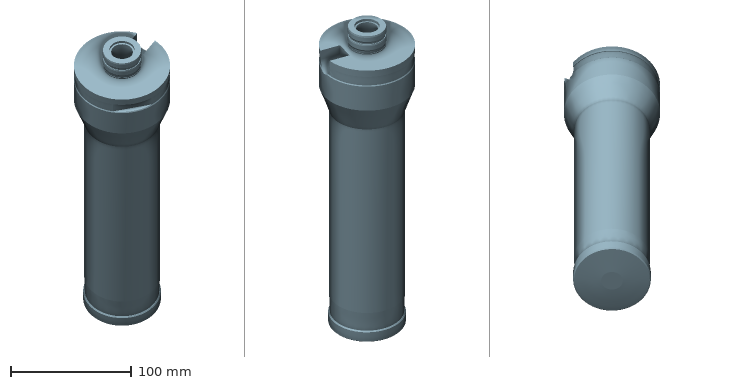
import cadquery as cq
import math

total_height = 295.0
flange_top = 276.7
flange_bottom = 270.5
band_bottom = 261.7
head_bottom = 237.0
collar_top = 214.5
collar_bottom = 212.7
tube_bottom = 30.0
foot_top = 11.8
foot_bottom = 1.5

flange_radius = 80.0 / 2
band_radius = 78.8 / 2
head_radius = flange_radius
collar_radius = 64.3 / 2
tube_radius = 63.0 / 2
taper_end_radius = 62.0 / 2
foot_radius = 64.5 / 2
foot_flat_radius = 18.0 / 2
edge_chamfer = 1.0

flat_distance = 35.7
flat_direction = -45.0

slot_width = 17.0
slot_inner_y = 20.6
slot_straight_depth = 8.8

insert_radius = 47.2 / 2
insert_depth = 23.5
neck_radius = 31.5 / 2
ring_radius = 32.2 / 2
ring_top_radius = 31.5 / 2
groove_radius = 30.7 / 2
ring_bevel_height = 1.5
ring_height = 4.0
ring_tops = [total_height - ring_bevel_height, 285.3]
neck_root = 277.5

bore_radius = 18.0 / 2
bore_mouth_radius = 21.0 / 2
bore_mouth_depth = 2.5
bore_depth = 26.5
drill_tip_angle = 118.0


def revolve_outline(outline):
    """Turn a closed (radius, height) outline around Z."""
    return outline.close().revolve(360, (0, 0, 0), (0, 1, 0))


def insert_blank():
    """Flush disc of the insert, flattened where the slot meets it."""
    disc = (
        cq.Workplane("XY", origin=(0, 0, flange_top - insert_depth))
        .circle(insert_radius)
        .extrude(insert_depth)
    )
    beyond_flat = (
        cq.Workplane("XY")
        .box(2 * insert_radius, insert_radius, total_height, centered=(True, False, False))
        .translate((0, slot_inner_y, 0))
    )
    return disc.cut(beyond_flat)


def band_flat_cutter():
    """Block that removes one flat from the band, between the head and the flange."""
    return (
        cq.Workplane("XY")
        .box(
            flange_radius,
            2 * flange_radius,
            flange_bottom - band_bottom,
            centered=(False, True, False),
        )
        .translate((flat_distance, 0, band_bottom))
        .rotate((0, 0, 0), (0, 0, 1), flat_direction)
    )


def slot_cutter():
    """Round-bottomed slot, open at the top and at the +Y side."""
    half_width = slot_width / 2
    floor_start = flange_top - slot_straight_depth
    return (
        cq.Workplane("XZ", origin=(0, slot_inner_y, 0))
        .moveTo(-half_width, total_height)
        .lineTo(-half_width, floor_start)
        .threePointArc((0, floor_start - half_width), (half_width, floor_start))
        .lineTo(half_width, total_height)
        .close()
        .extrude(-flange_radius)
    )


def make_housing():
    outline = (
        cq.Workplane("XZ")
        .moveTo(0, 0)
        .lineTo(foot_flat_radius, 0)
        .lineTo(foot_radius - edge_chamfer, foot_bottom)
        .lineTo(foot_radius, foot_bottom + edge_chamfer)
        .lineTo(foot_radius, foot_top - edge_chamfer / 2)
        .lineTo(foot_radius - edge_chamfer, foot_top + edge_chamfer / 2)
        .lineTo(taper_end_radius, foot_top + edge_chamfer / 2)
        .lineTo(tube_radius, tube_bottom)
        .lineTo(tube_radius, collar_bottom)
        .lineTo(collar_radius, collar_top)
        .lineTo(head_radius, head_bottom)
        .lineTo(head_radius, band_bottom - edge_chamfer)
        .lineTo(band_radius, band_bottom)
        .lineTo(band_radius, flange_bottom)
        .lineTo(flange_radius, flange_bottom)
        .lineTo(flange_radius, flange_top)
        .lineTo(0, flange_top)
    )
    body = revolve_outline(outline)
    return body.cut(band_flat_cutter()).cut(slot_cutter()).cut(insert_blank())


def neck_ring(top):
    """Raised ring on the neck, bevelled above and below."""
    outline = (
        cq.Workplane("XZ")
        .moveTo(0, top + ring_bevel_height)
        .lineTo(ring_top_radius, top + ring_bevel_height)
        .lineTo(ring_radius, top)
        .lineTo(ring_radius, top - ring_height)
        .lineTo(groove_radius, top - ring_height - ring_bevel_height)
        .lineTo(0, top - ring_height - ring_bevel_height)
    )
    return revolve_outline(outline)


def make_bore():
    tip_height = bore_radius / math.tan(math.radians(drill_tip_angle / 2))
    outline = (
        cq.Workplane("XZ")
        .moveTo(0, total_height)
        .lineTo(bore_mouth_radius, total_height)
        .lineTo(bore_mouth_radius, total_height - bore_mouth_depth)
        .lineTo(bore_radius, total_height - bore_mouth_depth)
        .lineTo(bore_radius, total_height - bore_depth + tip_height)
        .lineTo(0, total_height - bore_depth)
    )
    return revolve_outline(outline)


def make_insert():
    core = (
        cq.Workplane("XY", origin=(0, 0, flange_top))
        .circle(groove_radius)
        .extrude(total_height - flange_top)
    )
    root = (
        cq.Workplane("XY", origin=(0, 0, flange_top))
        .circle(neck_radius)
        .extrude(neck_root - flange_top)
    )
    body = insert_blank().union(core).union(root)
    for top in ring_tops:
        body = body.union(neck_ring(top))
    return body.cut(make_bore())


housing = make_housing()
insert = make_insert()
result = cq.Compound.makeCompound([housing.val(), insert.val()])